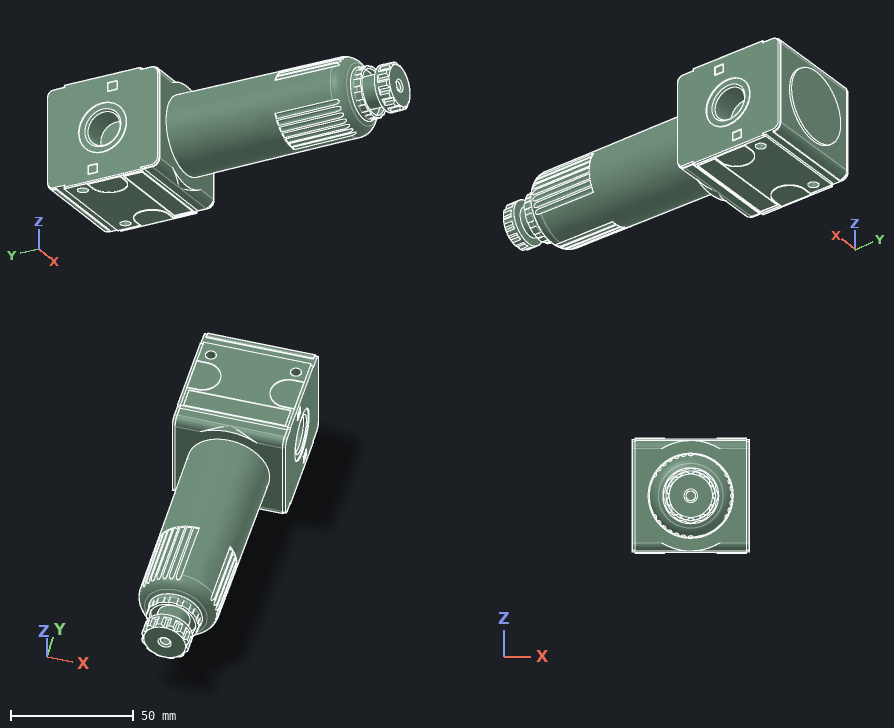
import cadquery as cq
import math


HEAD_WIDTH = 47.7
HEAD_HALF_LENGTH = 26.0
END_PLATE_THICKNESS = 1.2
END_PLATE_INSET = 0.5
BLOCK_WIDTH = HEAD_WIDTH - 2 * END_PLATE_THICKNESS
FACE_HALF_HEIGHT = 23.1
SHELF_HALF_HEIGHT = 22.5
BACK_STEP_Y = 18.4
FRONT_STEP_TOP_Y = -17.6
FRONT_STEP_RUN = 1.0
CHANNEL_DEPTH = 0.5
CHANNEL_LENGTH = 3.6
PLATE_FACE_HALF_HEIGHT = 23.0
PLATE_BACK_STEP_Y = 17.6
CORNER_RADIUS = 3.3

FRONT_BOSS_RADIUS = SHELF_HALF_HEIGHT
FRONT_BOSS_LENGTH = 9.1
CAP_DIAMETER = 33.5
CAP_HEIGHT = 1.0

PAD_HALF_HEIGHT = 47.0 / 2
PAD_WIDTH = 15.2
PAD_LENGTH = 12.0

MOUNT_HOLE_DIAMETER = 4.4
MOUNT_HOLE_X = 18.0
MOUNT_HOLE_Y = 12.3

LABEL_WIDTH = 42.9
LABEL_BACK_Y = -8.5
LABEL_FRONT_Y = -17.2
LABEL_DEPTH = 0.3

PORT_DIAMETER = 14.9
PORT_DEPTH = 12.2
PORT_CHAMFER = 0.9
PORT_FACE_DIAMETER = 22.0
MARK_LENGTH = 4.3
MARK_HEIGHT = 3.8
MARK_Y = 4.5
MARK_Z = 17.6
SIDE_RECESS_DEPTH = 0.5

BOWL_TOP_RADIUS = 17.3
BOWL_FOOT_RADIUS = 16.9
BOWL_FOOT_Y = -102.0
BOWL_FILLET_RADIUS = 6.1
BOWL_FILLET_ANGLE = math.radians(67)
COLLAR_TOP_RADIUS = 11.4
COLLAR_RADIUS = 21.5 / 2
COLLAR_TOP_Y = -108.4
COLLAR_CONE_END_Y = -110.8
COLLAR_END_Y = -112.8
COLLAR_RECESS_RADIUS = 19.5 / 2
COLLAR_RECESS_DEPTH = 2.3
STEM_RADIUS = 6.8
STEM_END_Y = -118.0
NECK_RADIUS = 9.7 / 2
KNOB_TOP_Y = -118.7
KNOB_RADIUS = 20.0 / 2
KNOB_END_Y = HEAD_HALF_LENGTH + CAP_HEIGHT - 152
KNOB_CHAMFER_RADIAL = 1.2
KNOB_CHAMFER_AXIAL = 0.8

FLUTE_PANELS = 3
FLUTES_PER_PANEL = 7
FLUTE_PITCH_ANGLE = 10
FLUTE_RADIUS = 1.2
FLUTE_AXIS_RADIUS = 17.5
FLUTE_START_Y = -75.4
FLUTE_END_Y = -106.4

TILE_COUNT = 12
TILE_RADIUS = 22.0 / 2
TILE_WIDTH = 3.3
TILE_TOP_Y = -109.6

KNOB_NOTCH_COUNT = 12
KNOB_NOTCH_TOP_Y = -120.2
KNOB_NOTCH_FLOOR_RADIUS = 9.0
KNOB_NOTCH_FLOOR_WIDTH = 1.0
KNOB_NOTCH_MOUTH_WIDTH = 3.6

DRAIN_HOLE_DIAMETER = 4.0
DRAIN_HOLE_DEPTH = 6.1
DRAIN_HOLE_CHAMFER = 0.8


def cylinder_y(radius, y_start, y_end):
    """Cylinder along the bowl axis; y_end lies below y_start."""
    plane = cq.Workplane("XZ", origin=(0, y_start, 0))
    return plane.circle(radius).extrude(y_start - y_end)


def head_profile(width, inset, face_z, back_step_y, front_step_run):
    """Prism along X whose top and bottom faces step down to a shelf at each end."""
    end = HEAD_HALF_LENGTH - inset
    radius = CORNER_RADIUS - inset
    arc_offset = radius * (1 - math.sqrt(0.5))
    shelf_z = SHELF_HALF_HEIGHT - inset

    profile = cq.Workplane("YZ", origin=(-width / 2, 0, 0)).moveTo(-end, 0)
    profile = (
        profile
        .lineTo(-end, shelf_z - radius)
        .threePointArc((-end + arc_offset, shelf_z - arc_offset), (-end + radius, shelf_z))
        .lineTo(FRONT_STEP_TOP_Y - front_step_run, shelf_z)
        .lineTo(FRONT_STEP_TOP_Y, face_z)
        .lineTo(back_step_y, face_z)
        .lineTo(back_step_y, shelf_z)
        .lineTo(end - radius, shelf_z)
        .threePointArc((end - arc_offset, shelf_z - arc_offset), (end, shelf_z - radius))
        .lineTo(end, 0)
        .close()
    )
    upper = profile.extrude(width)
    return upper.union(upper.mirror("XY"))


def cut_back_channels(block):
    """Shallow channels between the back corner rounds and the steps of the top and bottom."""
    center_y = BACK_STEP_Y + CHANNEL_LENGTH / 2
    channel = (
        cq.Workplane("XY", origin=(0, center_y, SHELF_HALF_HEIGHT - CHANNEL_DEPTH))
        .rect(BLOCK_WIDTH, CHANNEL_LENGTH)
        .extrude(2 * CHANNEL_DEPTH)
    )
    return block.cut(channel).cut(channel.mirror("XY"))


def make_block():
    """Middle block between two slightly smaller end plates."""
    plates = head_profile(HEAD_WIDTH, END_PLATE_INSET, PLATE_FACE_HALF_HEIGHT, PLATE_BACK_STEP_Y, 0)
    block = head_profile(BLOCK_WIDTH, 0, FACE_HALF_HEIGHT, BACK_STEP_Y, FRONT_STEP_RUN)
    return cut_back_channels(block).union(plates)


def add_bosses(head):
    """Round front boss behind the bowl and the low cap at the back."""
    boss = cylinder_y(FRONT_BOSS_RADIUS, FRONT_BOSS_LENGTH - HEAD_HALF_LENGTH, -HEAD_HALF_LENGTH)
    cap = cylinder_y(CAP_DIAMETER / 2, HEAD_HALF_LENGTH + CAP_HEIGHT, HEAD_HALF_LENGTH)
    return head.union(boss).union(cap)


def add_pads(head):
    """Raised pads with a round inner end, at both sides of the top and bottom faces."""
    round_radius = PAD_WIDTH / 2
    outer_x = BLOCK_WIDTH / 2
    round_x = outer_x - PAD_LENGTH + round_radius
    pad = (
        cq.Workplane("XY", origin=(0, 0, -PAD_HALF_HEIGHT))
        .moveTo(outer_x, -round_radius)
        .lineTo(round_x, -round_radius)
        .threePointArc((round_x - round_radius, 0), (round_x, round_radius))
        .lineTo(outer_x, round_radius)
        .close()
        .extrude(2 * PAD_HALF_HEIGHT)
    )
    return head.union(pad).union(pad.mirror("YZ"))


def cut_mount_holes(head):
    """Two holes through the whole height of the head."""
    holes = (
        cq.Workplane("XY", origin=(0, 0, -HEAD_WIDTH))
        .pushPoints([(-MOUNT_HOLE_X, MOUNT_HOLE_Y), (MOUNT_HOLE_X, MOUNT_HOLE_Y)])
        .circle(MOUNT_HOLE_DIAMETER / 2)
        .extrude(2 * HEAD_WIDTH)
    )
    return head.cut(holes)


def cut_label_recesses(head):
    """Shallow label recess across the top face and the bottom face."""
    length = LABEL_BACK_Y - LABEL_FRONT_Y
    recess = (
        cq.Workplane("XY", origin=(0, LABEL_FRONT_Y + length / 2, FACE_HALF_HEIGHT - LABEL_DEPTH))
        .rect(LABEL_WIDTH, length)
        .extrude(2 * LABEL_DEPTH)
    )
    return head.cut(recess).cut(recess.mirror("XY"))


def port_cutter():
    """Everything cut into the -X side: chamfered port, its seal recess and two square marks."""
    side = cq.Workplane("YZ", origin=(-HEAD_WIDTH / 2, 0, 0))
    face = side.circle(PORT_FACE_DIAMETER / 2).extrude(SIDE_RECESS_DEPTH)
    bore = side.circle(PORT_DIAMETER / 2).extrude(PORT_DEPTH)
    mouth = cq.Solid.makeCone(
        PORT_DIAMETER / 2 + PORT_CHAMFER,
        PORT_DIAMETER / 2,
        PORT_CHAMFER,
        cq.Vector(-HEAD_WIDTH / 2 + SIDE_RECESS_DEPTH, 0, 0),
        cq.Vector(1, 0, 0),
    )
    marks = (
        side.pushPoints([(-MARK_Y, MARK_Z), (MARK_Y, -MARK_Z)])
        .rect(MARK_LENGTH, MARK_HEIGHT)
        .extrude(SIDE_RECESS_DEPTH)
    )
    return face.union(bore).union(cq.Workplane(mouth)).union(marks)


def make_head():
    head = make_block()
    head = add_bosses(head)
    head = add_pads(head)
    head = cut_mount_holes(head)
    head = cut_label_recesses(head)
    port = port_cutter()
    return head.cut(port).cut(port.mirror("YZ"))


def make_bowl_blank():
    """Tapered bowl with a rounded foot, hollow collar, stem and knob, turned about Y."""
    fillet_center_r = BOWL_FOOT_RADIUS - BOWL_FILLET_RADIUS

    def foot_point(angle):
        return (
            fillet_center_r + BOWL_FILLET_RADIUS * math.cos(angle),
            BOWL_FOOT_Y - BOWL_FILLET_RADIUS * math.sin(angle),
        )

    return (
        cq.Workplane("XY")
        .moveTo(0, -HEAD_HALF_LENGTH)
        .lineTo(BOWL_TOP_RADIUS, -HEAD_HALF_LENGTH)
        .lineTo(BOWL_FOOT_RADIUS, BOWL_FOOT_Y)
        .threePointArc(foot_point(BOWL_FILLET_ANGLE / 2), foot_point(BOWL_FILLET_ANGLE))
        .lineTo(COLLAR_TOP_RADIUS, COLLAR_TOP_Y)
        .lineTo(COLLAR_RADIUS, COLLAR_CONE_END_Y)
        .lineTo(COLLAR_RADIUS, COLLAR_END_Y)
        .lineTo(COLLAR_RECESS_RADIUS, COLLAR_END_Y)
        .lineTo(COLLAR_RECESS_RADIUS, COLLAR_END_Y + COLLAR_RECESS_DEPTH)
        .lineTo(STEM_RADIUS, COLLAR_END_Y + COLLAR_RECESS_DEPTH)
        .lineTo(STEM_RADIUS, STEM_END_Y)
        .lineTo(NECK_RADIUS, STEM_END_Y)
        .lineTo(NECK_RADIUS, KNOB_TOP_Y)
        .lineTo(KNOB_RADIUS, KNOB_TOP_Y)
        .lineTo(KNOB_RADIUS, KNOB_END_Y + KNOB_CHAMFER_AXIAL)
        .lineTo(KNOB_RADIUS - KNOB_CHAMFER_RADIAL, KNOB_END_Y)
        .lineTo(0, KNOB_END_Y)
        .close()
        .revolve(360, (0, 0, 0), (0, 1, 0))
    )


def cut_flutes(bowl):
    """Grip panels of parallel round flutes, with a smooth gap centred on -X."""
    flute = cylinder_y(FLUTE_RADIUS, FLUTE_START_Y, FLUTE_END_Y).translate((FLUTE_AXIS_RADIUS, 0, 0))
    middle = (FLUTES_PER_PANEL - 1) / 2
    for panel in range(FLUTE_PANELS):
        panel_angle = panel * 360 / FLUTE_PANELS
        for index in range(FLUTES_PER_PANEL):
            angle = panel_angle + (index - middle) * FLUTE_PITCH_ANGLE
            bowl = bowl.cut(flute.rotate((0, 0, 0), (0, 1, 0), angle))
    return bowl


def add_collar_tiles(bowl):
    """Low raised tiles around the hollow collar."""
    ring = cylinder_y(TILE_RADIUS, TILE_TOP_Y, COLLAR_END_Y)
    ring = ring.cut(cylinder_y(COLLAR_RECESS_RADIUS, TILE_TOP_Y, COLLAR_END_Y))
    bar = (
        cq.Workplane("XZ", origin=(0, TILE_TOP_Y, 0))
        .rect(TILE_WIDTH, 2 * COLLAR_TOP_RADIUS)
        .extrude(TILE_TOP_Y - COLLAR_END_Y)
    )
    for index in range(TILE_COUNT // 2):
        tiles = ring.intersect(bar.rotate((0, 0, 0), (0, 1, 0), index * 360 / TILE_COUNT))
        bowl = bowl.union(tiles)
    return bowl


def cut_knob_notches(bowl):
    """Tapered grip notches around the knob, below its plain rim."""
    half_floor = KNOB_NOTCH_FLOOR_WIDTH / 2
    half_mouth = KNOB_NOTCH_MOUTH_WIDTH / 2
    notch = (
        cq.Workplane("XZ", origin=(0, KNOB_NOTCH_TOP_Y, 0))
        .moveTo(-half_floor, KNOB_NOTCH_FLOOR_RADIUS)
        .lineTo(half_floor, KNOB_NOTCH_FLOOR_RADIUS)
        .lineTo(half_mouth, KNOB_RADIUS)
        .lineTo(-half_mouth, KNOB_RADIUS)
        .close()
        .extrude(KNOB_NOTCH_TOP_Y - KNOB_END_Y)
    )
    for index in range(KNOB_NOTCH_COUNT):
        bowl = bowl.cut(notch.rotate((0, 0, 0), (0, 1, 0), index * 360 / KNOB_NOTCH_COUNT))
    return bowl


def cut_drain_hole(bowl):
    """Blind countersunk hole in the end of the knob."""
    radius = DRAIN_HOLE_DIAMETER / 2
    hole = cylinder_y(radius, KNOB_END_Y + DRAIN_HOLE_DEPTH, KNOB_END_Y)
    countersink = cq.Solid.makeCone(
        radius + DRAIN_HOLE_CHAMFER,
        radius,
        DRAIN_HOLE_CHAMFER,
        cq.Vector(0, KNOB_END_Y, 0),
        cq.Vector(0, 1, 0),
    )
    return bowl.cut(hole).cut(cq.Workplane(countersink))


def make_bowl():
    bowl = make_bowl_blank()
    bowl = cut_flutes(bowl)
    bowl = add_collar_tiles(bowl)
    bowl = cut_knob_notches(bowl)
    return cut_drain_hole(bowl)


head = make_head()
bowl = make_bowl()
result = cq.Compound.makeCompound([*head.solids().vals(), *bowl.solids().vals()])